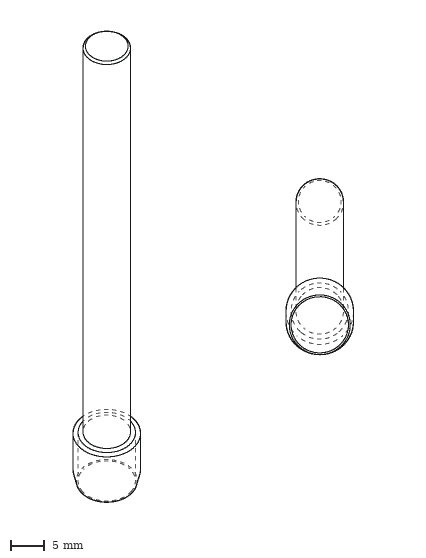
import cadquery as cq

total_length = 90.0

shank_diameter = 7.0
head_diameter = 8.5
pin_chamfer_width = 0.4
pin_chamfer_height = 0.4

sleeve_diameter = 10.0
lead_in_height = 2.3
lead_in_end_diameter = 9.0

shoulder_top = 10.2
shoulder_slope = 0.19


def shoulder_height(radius):
    """Height of the conical shoulder at a distance from the axis."""
    return shoulder_top - shoulder_slope * (radius - shank_diameter / 2)


def revolve_profile(points):
    """Turn a closed (radius, height) outline about the Z axis."""
    return cq.Workplane("XZ").polyline(points).close().revolve(360, (0, 0), (0, 1))


def make_pin():
    """Round pin with a chamfered top end and a wider head at the bottom."""
    shank_radius = shank_diameter / 2
    head_radius = head_diameter / 2
    return revolve_profile([
        (0, 0),
        (head_radius, 0),
        (head_radius, shoulder_height(head_radius)),
        (shank_radius, shoulder_top),
        (shank_radius, total_length - pin_chamfer_height),
        (shank_radius - pin_chamfer_width, total_length),
        (0, total_length),
    ])


def make_sleeve():
    """Sleeve around the pin head, with a tapered lead-in at its bottom end."""
    outer_radius = sleeve_diameter / 2
    bore_radius = head_diameter / 2
    return revolve_profile([
        (bore_radius, 0),
        (lead_in_end_diameter / 2, 0),
        (outer_radius, lead_in_height),
        (outer_radius, shoulder_height(outer_radius)),
        (bore_radius, shoulder_height(bore_radius)),
    ])


pin = make_pin()
sleeve = make_sleeve()
result = cq.Compound.makeCompound([pin.val(), sleeve.val()])